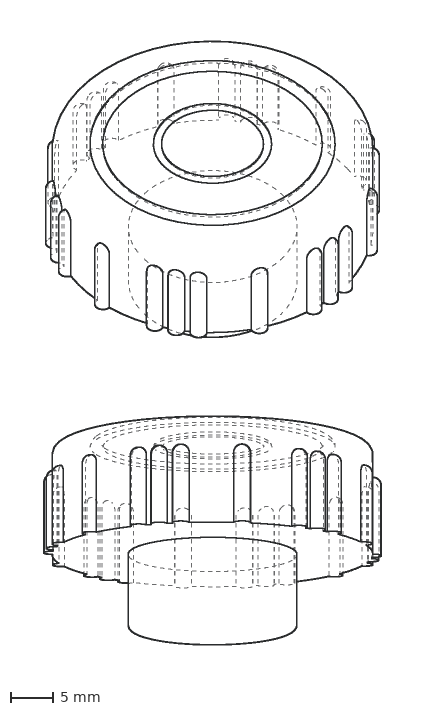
import cadquery as cq

hub_diameter = 20.0
hub_height = 9.0
hub_edge_fillet = 0.48
cap_diameter = 38.0
cap_height = 13.0
cap_edge_fillet = 1.0
cap_top = hub_height + cap_height

outer_ring_radius = 13.75
outer_bead_radius = 0.75
inner_ring_radius = 6.5
inner_bead_radius = 0.48

rib_radius = 1.0
rib_straight_height = 8.48
group_count = 6
group_pitch = 360 / group_count
triple_spread = 8.0


def make_hub():
    hub = cq.Workplane("XY").circle(hub_diameter / 2).extrude(cap_top)
    return hub.faces("<Z").edges().fillet(hub_edge_fillet)


def make_cap():
    cap = cq.Workplane("XY").workplane(offset=hub_height).circle(cap_diameter / 2).extrude(cap_height)
    return cap.faces(">Z").edges().fillet(cap_edge_fillet)


def make_ring(ring_radius, bead_radius):
    """Round bead whose upper half stands above the cap's top face."""
    centre = cq.Vector(0, 0, cap_top)
    return cq.Workplane(cq.Solid.makeTorus(ring_radius, bead_radius, centre))


def make_rib(angle):
    """Vertical rib at the given angle from +X."""
    rib = cq.Workplane("XY").circle(rib_radius).extrude(rib_straight_height)
    dome = cq.Workplane("XY").sphere(rib_radius).translate((0, 0, rib_straight_height))
    rib = rib.union(dome).translate((cap_diameter / 2, 0, hub_height))
    return rib.rotate((0, 0, 0), (0, 0, 1), angle)


rib_offsets = (-triple_spread, 0, triple_spread, group_pitch / 2)

result = make_hub().union(make_cap())
result = result.union(make_ring(outer_ring_radius, outer_bead_radius))
result = result.union(make_ring(inner_ring_radius, inner_bead_radius))
for group in range(group_count):
    for offset in rib_offsets:
        result = result.union(make_rib(group * group_pitch + offset))